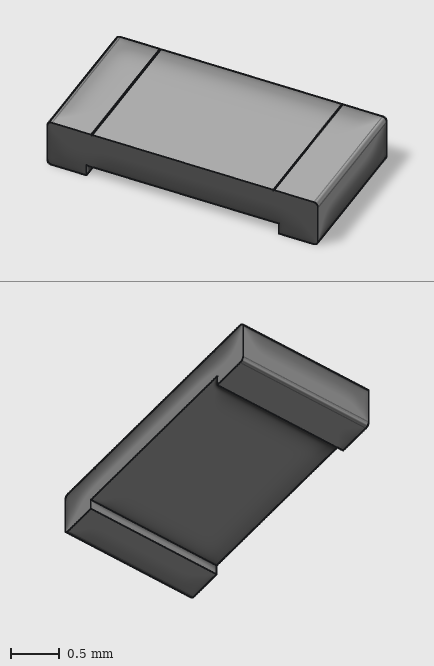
import cadquery as cq

length = 3.1
width = 1.6
height = 0.55

foot_length = 0.45
foot_height = 0.13
corner_radius = 0.05

coating_length = 2.077
notch_size = 0.01


def make_body():
    """Rectangular chip with rounded long edges at both ends."""
    block = cq.Workplane("XY").box(length, width, height, centered=(True, True, False))
    return block.edges("|Y and (<X or >X)").fillet(corner_radius)


def make_underside_recess():
    """Space between the two terminal feet."""
    recess_length = length - 2 * foot_length
    return cq.Workplane("XY").box(recess_length, width, foot_height, centered=(True, True, False))


def make_notch(side):
    """V-notch with an upright wall on the coating; side is -1 or 1 along X."""
    wall_x = side * coating_length / 2
    return (
        cq.Workplane("XZ")
        .moveTo(wall_x, height)
        .lineTo(wall_x, height - notch_size)
        .lineTo(wall_x + side * notch_size, height)
        .close()
        .extrude(width / 2, both=True)
    )


result = make_body().cut(make_underside_recess())
for end_side in (-1, 1):
    result = result.cut(make_notch(end_side))